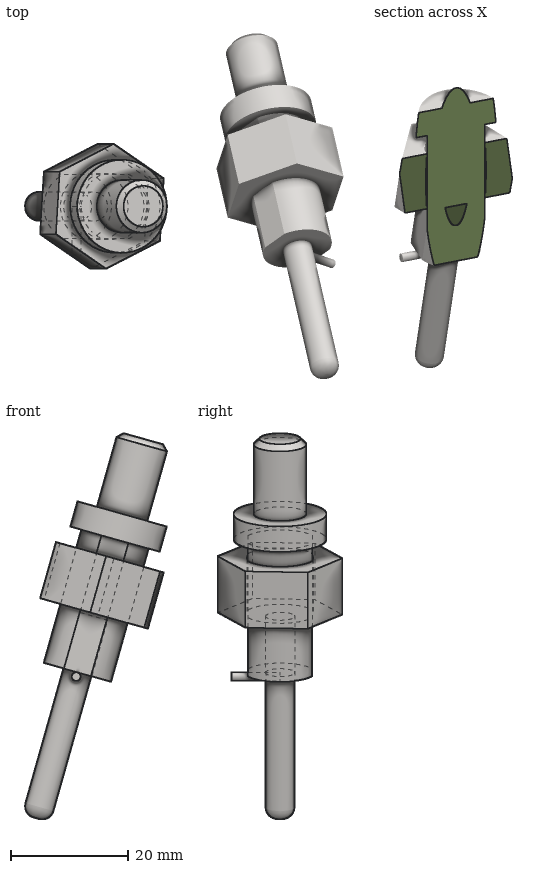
import cadquery as cq

tilt_angle = 15.75

shank_diameter = 12.0
shank_across_flats = 11.0
shank_length = 23.65
collar_diameter = 15.9
collar_thickness = 4.5
stud_diameter = 9.0
stud_length = 13.35
stud_chamfer = 1.0

nut_corner_radius = 10.7
nut_bore_diameter = 11.3
nut_thickness = 10.0
nut_turn = 3.6
nut_base = 10.45

plunger_diameter = 5.0
plunger_reach = 25.9
plunger_end_radius = 2.0
socket_depth = 2 * plunger_diameter

cross_pin_diameter = 1.5
cross_pin_reach = 8.3

collar_top = shank_length + collar_thickness
cross_pin_height = -cross_pin_diameter / 2


def cylinder(diameter, base, length):
    """Upright cylinder on the common axis."""
    return cq.Workplane("XY", origin=(0, 0, base)).circle(diameter / 2).extrude(length)


def make_shank():
    """Round shank with two flats facing -Y and +Y."""
    flats = cq.Workplane("XY").rect(shank_diameter, shank_across_flats).extrude(shank_length)
    return cylinder(shank_diameter, 0, shank_length).intersect(flats)


def make_housing():
    """Shank, collar, chamfered stud and a socket for the plunger."""
    collar = cylinder(collar_diameter, shank_length, collar_thickness)
    stud = cylinder(stud_diameter, collar_top, stud_length).faces(">Z").chamfer(stud_chamfer)
    socket = cylinder(plunger_diameter, 0, socket_depth)
    return make_shank().union(collar).union(stud).cut(socket)


def make_nut():
    """Hexagon nut; its bore fits the shank and leaves a narrow gap beside each flat."""
    hexagon = (
        cq.Workplane("XY", origin=(0, 0, nut_base))
        .transformed(rotate=(0, 0, -90 - nut_turn))
        .polygon(6, 2 * nut_corner_radius)
        .extrude(nut_thickness)
    )
    bore = cylinder(nut_bore_diameter, nut_base, nut_thickness)
    return hexagon.cut(bore).cut(make_shank())


def make_cross_pin():
    """Pin standing out of the plunger toward -Y, starting on the plunger axis."""
    start = cq.Workplane("XZ", origin=(0, 0, cross_pin_height))
    return start.circle(cross_pin_diameter / 2).extrude(cross_pin_reach)


def make_plunger():
    """Plunger with a rounded lower end and a blind hole for the cross pin."""
    rod = cylinder(plunger_diameter, -plunger_reach, plunger_reach + socket_depth)
    rounded = rod.faces("<Z").edges().fillet(plunger_end_radius)
    return rounded.cut(make_cross_pin())


def tilted(body):
    """Lean an upright body toward +X."""
    return body.rotate((0, 0, 0), (0, 1, 0), tilt_angle)


housing = tilted(make_housing())
nut = tilted(make_nut())
plunger = tilted(make_plunger())
cross_pin = tilted(make_cross_pin())

result = cq.Compound.makeCompound([housing.val(), nut.val(), plunger.val(), cross_pin.val()])